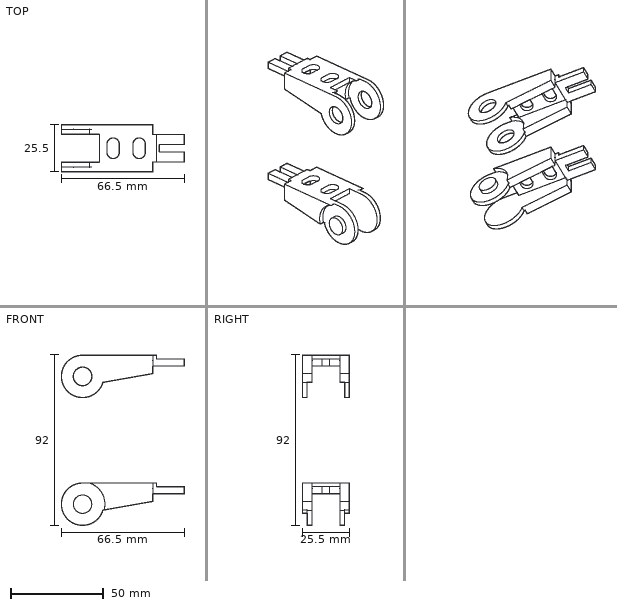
import cadquery as cq
import math

overall_length = 66.5
overall_width = 25.5
overall_height = 92.0
knuckle_radius = 11.5
link_pitch = overall_height - 2 * knuckle_radius
half_width = overall_width / 2

cheek_thickness = 5.2
cheek_end_x = 38.0
cheek_end_height = 10.0
underside_angle = 10.0
plate_start_x = 9.0
plate_thickness = 3.0
inner_half_width = half_width - cheek_thickness

outer_lug_thickness = 2.6
joint_half_width = half_width - outer_lug_thickness
pivot_radius = 5.0
relief_radius = 12.05

tongue_end_x = overall_length - knuckle_radius
tongue_step_x = 40.0
tongue_step_depth = 2.0
tongue_bottom_depth = 6.0
fork_start_x = 41.5
fork_gap = 4.0

slot_centers_x = (16.5, 30.5)
slot_width = 6.5
slot_length = 11.0


def box_between(x_range, y_range, z_range):
    """Block spanning the given (low, high) ranges."""
    sizes = [high - low for low, high in (x_range, y_range, z_range)]
    corner = (x_range[0], y_range[0], z_range[0])
    return cq.Workplane("XY").box(*sizes, centered=False).translate(corner)


def disc(radius, y_low, y_high):
    """Cylinder about the knuckle axis."""
    plane = cq.Workplane("XZ", origin=(0, y_high, 0))
    return plane.circle(radius).extrude(y_high - y_low)


def cheek(y_low, y_high):
    """Round knuckle blended into a tapering arm."""
    end_bottom_z = knuckle_radius - cheek_end_height
    root_bottom_z = end_bottom_z - cheek_end_x * math.tan(math.radians(underside_angle))
    arm = (
        cq.Workplane("XZ", origin=(0, y_high, 0))
        .moveTo(0, knuckle_radius)
        .lineTo(cheek_end_x, knuckle_radius)
        .lineTo(cheek_end_x, end_bottom_z)
        .lineTo(0, root_bottom_z)
        .close()
        .extrude(y_high - y_low)
    )
    return arm.union(disc(knuckle_radius, y_low, y_high))


def side_ranges(inner, outer):
    """Y ranges of a feature that is mirrored on both sides."""
    return ((-outer, -inner), (inner, outer))


def top_plate():
    y_range = (-inner_half_width, inner_half_width)
    z_range = (knuckle_radius - plate_thickness, knuckle_radius)
    plate = box_between((plate_start_x, cheek_end_x), y_range, z_range)
    slots = (
        cq.Workplane("XY", origin=(0, 0, z_range[0]))
        .pushPoints([(x, 0) for x in slot_centers_x])
        .slot2D(slot_length, slot_width, 90)
        .extrude(plate_thickness)
    )
    return plate.cut(slots)


def tongue():
    y_range = (-inner_half_width, inner_half_width)
    bottom_z = knuckle_radius - tongue_bottom_depth
    step_z = knuckle_radius - tongue_step_depth
    root = box_between((cheek_end_x, tongue_step_x), y_range, (bottom_z, knuckle_radius))
    blade = box_between((tongue_step_x, tongue_end_x), y_range, (bottom_z, step_z))
    fork = box_between((fork_start_x, tongue_end_x), (-fork_gap / 2, fork_gap / 2), (bottom_z, step_z))
    return root.union(blade).cut(fork)


def blank_link():
    """Both full-thickness cheeks, the plate and the tongue."""
    link = top_plate().union(tongue())
    for y_range in side_ranges(inner_half_width, half_width):
        link = link.union(cheek(*y_range))
    return link


def eye_link():
    """Link with bored outer lugs and relief on the inside of each cheek."""
    link = blank_link()
    for y_range in side_ranges(inner_half_width, joint_half_width):
        link = link.cut(disc(relief_radius, *y_range))
    return link.cut(disc(pivot_radius, -half_width, half_width))


def pin_link():
    """Link with inner lugs and integral pins reaching the outer width."""
    link = blank_link()
    for y_range in side_ranges(joint_half_width, half_width):
        link = link.cut(disc(relief_radius, *y_range))
        link = link.union(disc(pivot_radius, *y_range))
    return link


lower_link = pin_link()
upper_link = eye_link().translate((0, 0, link_pitch))

result = cq.Compound.makeCompound([lower_link.val(), upper_link.val()])